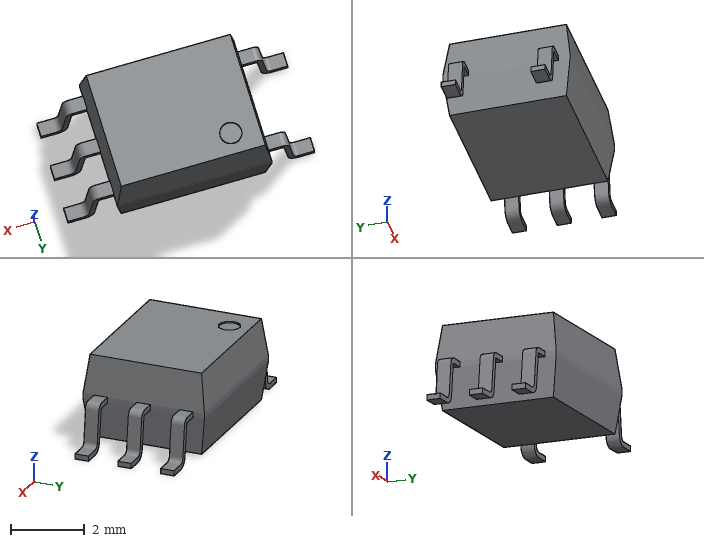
import cadquery as cq
import math

BODY_LENGTH = 4.38
BODY_WIDTH = 3.6
BODY_TOP = 2.5
STANDOFF = 0.1
FACE_INSET = 0.15

MARK_DIAMETER = 0.6
MARK_DEPTH = 0.04
MARK_X = -1.245
MARK_Y = 1.05

LEAD_SPAN = 7.0
LEAD_THICKNESS = 0.155
LEAD_WIDTH = 0.4
LEAD_PITCH = 1.27
LEG_TILT = 7.0
SHOULDER_REACH = 2.765
SHOULDER_INNER_RADIUS = 0.05
FOOT_INNER_RADIUS = 0.15

BAND_BOTTOM = (STANDOFF + BODY_TOP - LEAD_THICKNESS) / 2
BAND_TOP = BAND_BOTTOM + LEAD_THICKNESS


def tapered_half(band_face_z, end_face_z):
    """Half of the body, narrowing from the band to the flat end face."""
    return (
        cq.Workplane("XY", origin=(0, 0, band_face_z))
        .rect(BODY_LENGTH, BODY_WIDTH)
        .workplane(offset=end_face_z - band_face_z)
        .rect(BODY_LENGTH - 2 * FACE_INSET, BODY_WIDTH - 2 * FACE_INSET)
        .loft(ruled=True)
    )


def make_body():
    band = (
        cq.Workplane("XY", origin=(0, 0, BAND_BOTTOM))
        .rect(BODY_LENGTH, BODY_WIDTH)
        .extrude(LEAD_THICKNESS)
    )
    mark = (
        cq.Workplane("XY", origin=(MARK_X, MARK_Y, BODY_TOP))
        .circle(MARK_DIAMETER / 2)
        .extrude(-MARK_DEPTH)
    )
    upper = tapered_half(BAND_TOP, BODY_TOP)
    lower = tapered_half(BAND_BOTTOM, STANDOFF)
    return band.union(upper).union(lower).cut(mark)


def make_lead(y):
    """Lead on the +X side, butting against the band and centred at y."""
    tilt = math.radians(LEG_TILT)
    shoulder_x = SHOULDER_REACH
    foot_x = shoulder_x + (BAND_TOP - LEAD_THICKNESS) * math.tan(tilt)
    corner_shift = LEAD_THICKNESS * math.tan((math.pi / 2 - tilt) / 2)

    shoulder_outer = (shoulder_x, BAND_TOP)
    shoulder_inner = (shoulder_x - corner_shift, BAND_BOTTOM)
    foot_inner = (foot_x, LEAD_THICKNESS)
    foot_outer = (foot_x - corner_shift, 0)

    strip = (
        cq.Workplane("XZ", origin=(0, y, 0))
        .polyline([
            (BODY_LENGTH / 2, BAND_TOP),
            shoulder_outer,
            foot_inner,
            (LEAD_SPAN / 2, LEAD_THICKNESS),
            (LEAD_SPAN / 2, 0),
            foot_outer,
            shoulder_inner,
            (BODY_LENGTH / 2, BAND_BOTTOM),
        ])
        .close()
        .extrude(LEAD_WIDTH / 2, both=True)
    )
    bends = [
        (shoulder_inner, SHOULDER_INNER_RADIUS),
        (shoulder_outer, SHOULDER_INNER_RADIUS + LEAD_THICKNESS),
        (foot_inner, FOOT_INNER_RADIUS),
        (foot_outer, FOOT_INNER_RADIUS + LEAD_THICKNESS),
    ]
    for (x, z), radius in bends:
        bend_edge = cq.selectors.NearestToPointSelector((x, y, z))
        strip = strip.edges(bend_edge).fillet(radius)
    return strip


body = make_body()

leads = [make_lead(place * LEAD_PITCH) for place in (-1, 0, 1)]
leads += [make_lead(place * LEAD_PITCH).mirror("YZ") for place in (-1, 1)]

result = cq.Compound.makeCompound([body.val(), *[lead.val() for lead in leads]])